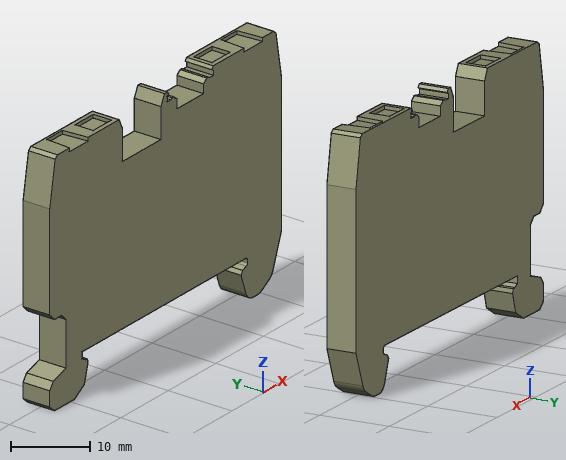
import cadquery as cq

LENGTH = 48.7
THICKNESS = 4.2
HEIGHT = 35.4

SHOULDER_Z = 28.5
SHOULDER_INSET = 1.14
CORNER_RUN = 0.5
CORNER_DROP = 0.42

NOTCH_LEFT = 15.33
NOTCH_RIGHT = 23.37
NOTCH_FLOOR_Z = 29.3
NOTCH_FLARE_Z = 33.88
NOTCH_FLARE = 0.75

MARKER_X = 29.55
MARKER_FLOOR_Z = 32.3
MARKER_HALF_FLOOR = 2.77
MARKER_BUMP_Z = 34.2
MARKER_BUMP_SIDE_Z = 33.65
MARKER_BUMP_INNER = 3.45
MARKER_BUMP_OUTER = 3.8
MARKER_LEDGE_INNER = 4.1
MARKER_LEDGE_Z = 34.05
MARKER_LIP_Z = 34.97
MARKER_HALF_WIDTH = 4.85
MARKER_HALF_LIP = 4.5
MARKER_UNDERCUT_Z = 34.75
MARKER_HALF_TOP = 4.8

RAIL_Z = 6.0
RAIL_LEFT = 6.85
RAIL_RIGHT = 41.58

FLANK_Z = 6.95
FOOT_HEEL = (46.68, 1.53)
FOOT_BELLY = (44.17, 0)
FOOT_TOE = (41.61, 0)
CLAW_TIP = (40.2, 4.02)
CLAW_SHOULDER = (40.55, 4.56)
CLAW_ROOT = (RAIL_RIGHT, 4.97)
RAIL_CORNER = (RAIL_RIGHT, RAIL_Z)
HEEL_RADIUS = 2.0
BELLY_RADIUS = 2.0
TOE_RADIUS = 1.6
CLAW_RADIUS = 0.4

HOOK_ROOT_Z = 5.0
HOOK_NECK = (7.5, 4.65)
HOOK_TOP = (7.95, 4.6)
HOOK_TIP = (8.06, 4.0)
HOOK_HEEL = (7.29, 1.3)
HOOK_SOLE_X = 5.23
FOOT_EDGE_BOTTOM_Z = 0.9
FOOT_EDGE_TOP_Z = 3.17
FOOT_SHOULDER = (0.74, 4.2)
FOOT_ANKLE_Z = 5.03

RELIEF_X = 3.42
RELIEF_TOP_Z = 12.7
RELIEF_CHAMFER = 0.9
EDGE_CHAMFER = 1.02

POCKET_MIRROR_X = 24.45
POCKET_DEPTH = 0.52
ENTRY_OFFSET = 18.32
ENTRY_FRONT_WIDTH = 3.9
ENTRY_BACK_WIDTH = 3.3
ENTRY_BACK_Y = 3.82
WINDOW_OFFSET = 12.48
WINDOW_WIDTH = 3.83
WINDOW_FRONT_Y = 0.7
WINDOW_BACK_Y = 3.55


def marker_side():
    """Right half of the marker recess as (distance from centre line, Z), floor to top."""
    return [
        (MARKER_HALF_FLOOR, MARKER_FLOOR_Z),
        (MARKER_HALF_FLOOR, MARKER_BUMP_SIDE_Z),
        (MARKER_BUMP_INNER, MARKER_BUMP_Z),
        (MARKER_BUMP_OUTER, MARKER_BUMP_Z),
        (MARKER_LEDGE_INNER, MARKER_LEDGE_Z),
        (MARKER_HALF_WIDTH, MARKER_LEDGE_Z),
        (MARKER_HALF_WIDTH, MARKER_UNDERCUT_Z),
        (MARKER_HALF_LIP, MARKER_LIP_Z),
        (MARKER_HALF_TOP, HEIGHT),
    ]


def top_edge():
    """Points of the upper edge, left to right."""
    left_marker = [(MARKER_X - offset, z) for offset, z in reversed(marker_side())]
    right_marker = [(MARKER_X + offset, z) for offset, z in marker_side()]
    return [
        (0, SHOULDER_Z),
        (SHOULDER_INSET, HEIGHT - CORNER_DROP),
        (SHOULDER_INSET + CORNER_RUN, HEIGHT),
        (NOTCH_LEFT - NOTCH_FLARE, HEIGHT),
        (NOTCH_LEFT, NOTCH_FLARE_Z),
        (NOTCH_LEFT, NOTCH_FLOOR_Z),
        (NOTCH_RIGHT, NOTCH_FLOOR_Z),
        (NOTCH_RIGHT, NOTCH_FLARE_Z),
        (NOTCH_RIGHT + NOTCH_FLARE, HEIGHT),
        *left_marker,
        *right_marker,
        (LENGTH - SHOULDER_INSET - CORNER_RUN, HEIGHT),
        (LENGTH - SHOULDER_INSET, HEIGHT - CORNER_DROP),
        (LENGTH, SHOULDER_Z),
    ]


def right_foot():
    """Sharp points of the right foot, from the right edge round to the rail opening."""
    return [
        (LENGTH, FLANK_Z),
        FOOT_HEEL,
        FOOT_BELLY,
        FOOT_TOE,
        CLAW_TIP,
        CLAW_SHOULDER,
        CLAW_ROOT,
        RAIL_CORNER,
    ]


def left_foot():
    """Points of the left foot, from the rail opening round to the left edge relief."""
    return [
        (RAIL_LEFT, RAIL_Z),
        (RAIL_LEFT, HOOK_ROOT_Z),
        HOOK_NECK,
        HOOK_TOP,
        HOOK_TIP,
        HOOK_HEEL,
        (HOOK_SOLE_X, 0),
        (EDGE_CHAMFER, 0),
        (0, FOOT_EDGE_BOTTOM_Z),
        (0, FOOT_EDGE_TOP_Z),
        FOOT_SHOULDER,
        (RELIEF_X, FOOT_ANKLE_Z),
    ]


def edge_relief():
    """Points of the relief in the left edge, upwards."""
    return [
        (RELIEF_X, RELIEF_TOP_Z - RELIEF_CHAMFER),
        (RELIEF_X - RELIEF_CHAMFER, RELIEF_TOP_Z),
        (EDGE_CHAMFER, RELIEF_TOP_Z),
        (0, RELIEF_TOP_Z + EDGE_CHAMFER),
    ]


def round_corner(body, corner, radius):
    """Fillet the edge that runs through the thickness at an (X, Z) corner."""
    x, z = corner
    edge_middle = (x, THICKNESS / 2, z)
    return body.edges("|Y").edges(cq.selectors.NearestToPointSelector(edge_middle)).fillet(radius)


def housing():
    """Plate with the full outline, its right foot rounded."""
    outline = top_edge() + right_foot() + left_foot() + edge_relief()
    body = cq.Workplane("XZ").polyline(outline).close().extrude(-THICKNESS)
    rounded_corners = [
        (FOOT_HEEL, HEEL_RADIUS),
        (FOOT_BELLY, BELLY_RADIUS),
        (FOOT_TOE, TOE_RADIUS),
        (CLAW_ROOT, CLAW_RADIUS),
        (RAIL_CORNER, CLAW_RADIUS),
    ]
    for corner, radius in rounded_corners:
        body = round_corner(body, corner, radius)
    return body


def pocket(outline):
    """Cutter that sinks an XY outline into the top face."""
    floor = cq.Workplane("XY", origin=(0, 0, HEIGHT - POCKET_DEPTH))
    return floor.polyline(outline).close().extrude(POCKET_DEPTH)


def entry_pocket(x):
    """Tapered pocket open to the front face."""
    return pocket([
        (x - ENTRY_FRONT_WIDTH / 2, 0),
        (x + ENTRY_FRONT_WIDTH / 2, 0),
        (x + ENTRY_BACK_WIDTH / 2, ENTRY_BACK_Y),
        (x - ENTRY_BACK_WIDTH / 2, ENTRY_BACK_Y),
    ])


def window_pocket(x):
    """Closed rectangular pocket."""
    return pocket([
        (x - WINDOW_WIDTH / 2, WINDOW_FRONT_Y),
        (x + WINDOW_WIDTH / 2, WINDOW_FRONT_Y),
        (x + WINDOW_WIDTH / 2, WINDOW_BACK_Y),
        (x - WINDOW_WIDTH / 2, WINDOW_BACK_Y),
    ])


result = housing()
for side in (-1, 1):
    result = result.cut(entry_pocket(POCKET_MIRROR_X + side * ENTRY_OFFSET))
    result = result.cut(window_pocket(POCKET_MIRROR_X + side * WINDOW_OFFSET))